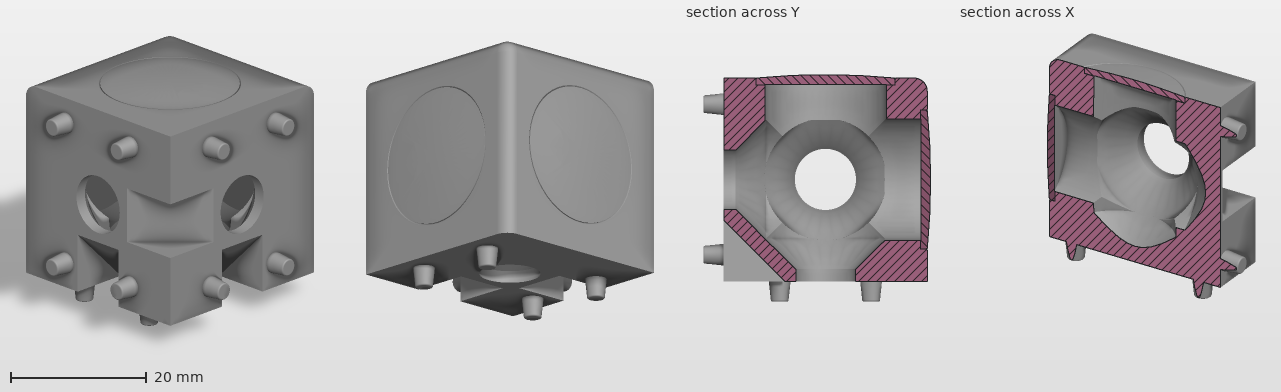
import cadquery as cq
import math

OVERALL = 33.5
DOME_RISE = 0.5
PEG_LENGTH = 2.98
CUBE = OVERALL - DOME_RISE - PEG_LENGTH
HALF = CUBE / 2
EDGE_RADIUS = 2.0

NOTCH_WIDTH = 8.5
NOTCH_DEPTH = 9.0

PEG_BASE_DIAMETER = 3.2
PEG_TIP_DIAMETER = 2.58
PEG_TIP_RADIUS = 0.25
PEG_WIDE_SPACING = 22.18
PEG_NARROW_SPACING = 13.47

BORE_DIAMETER = 9.0
BORE_LENGTH = 1.78
CHAMBER_DIAMETER = 18.0
CHAMBER_RADIUS = CHAMBER_DIAMETER / 2
CONE_LENGTH = CHAMBER_RADIUS - BORE_DIAMETER / 2
CHAMBER_FLOOR = BORE_LENGTH + CONE_LENGTH - HALF

CAP_DIAMETER = 20.6
CAP_THICKNESS = 1.0
SEAT_MOUTH_DIAMETER = 21.0
SEAT_BEVEL = (SEAT_MOUTH_DIAMETER - CAP_DIAMETER) / 2

AXES = [
    ((-1, 0, 0), (0, 1, 0)),
    ((0, 1, 0), (1, 0, 0)),
    ((0, 0, 1), (1, 0, 0)),
]


def revolve_profile(profile):
    """Turn a closed profile, drawn as radius against height, about the Z axis."""
    return profile.close().revolve(360, (0, 0, 0), (0, 1, 0))


def place_on_axis(body, normal, x_direction):
    """Move a body built along +Z so that +Z becomes the outward capped direction."""
    plane = cq.Plane(origin=(0, 0, 0), xDir=x_direction, normal=normal)
    return cq.Workplane(body.val().moved(cq.Location(plane)))


def make_passage():
    """Cap seat, wide chamber, cone and bore, running from the top face to the bottom face."""
    seat_radius = CAP_DIAMETER / 2
    seat_floor = HALF - CAP_THICKNESS
    bore_radius = BORE_DIAMETER / 2
    profile = (
        cq.Workplane("XZ")
        .moveTo(0, HALF)
        .lineTo(SEAT_MOUTH_DIAMETER / 2, HALF)
        .lineTo(seat_radius, HALF - SEAT_BEVEL)
        .lineTo(seat_radius, seat_floor)
        .lineTo(CHAMBER_RADIUS, seat_floor)
        .lineTo(CHAMBER_RADIUS, CHAMBER_FLOOR)
        .lineTo(bore_radius, BORE_LENGTH - HALF)
        .lineTo(bore_radius, -HALF)
        .lineTo(0, -HALF)
    )
    return revolve_profile(profile)


def make_pegs():
    """Four tapered pegs hanging from the bottom face, each with a rounded tip."""
    profile = (
        cq.Workplane("XZ")
        .lineTo(PEG_BASE_DIAMETER / 2, 0)
        .lineTo(PEG_TIP_DIAMETER / 2, -PEG_LENGTH)
        .lineTo(0, -PEG_LENGTH)
    )
    peg = revolve_profile(profile).faces("<Z").edges().fillet(PEG_TIP_RADIUS).val()
    corners = (
        cq.Workplane("XY", origin=(0, 0, -HALF))
        .rect(PEG_NARROW_SPACING, PEG_WIDE_SPACING, forConstruction=True)
        .vertices()
    )
    return corners.eachpoint(lambda location: peg.moved(location))


def make_notch(plane_name, side):
    """Triangular prism across the edge at (side * HALF, -HALF) in the coordinates of the named plane."""
    return (
        cq.Workplane(plane_name)
        .polyline([
            (side * HALF, -HALF),
            (side * (HALF - NOTCH_DEPTH), -HALF),
            (side * HALF, NOTCH_DEPTH - HALF),
        ])
        .close()
        .extrude(NOTCH_WIDTH / 2, both=True)
    )


def make_housing():
    """Hollow cube with rounded capped edges, notched pegged edges and pegs."""
    housing = cq.Workplane("XY").box(CUBE, CUBE, CUBE)
    housing = housing.edges("(<X and >Y) or (<X and >Z) or (>Y and >Z)").fillet(EDGE_RADIUS)
    for plane_name, side in (("XY", 1), ("XZ", 1), ("YZ", -1)):
        housing = housing.cut(make_notch(plane_name, side))
    for normal, x_direction in AXES:
        housing = housing.cut(place_on_axis(make_passage(), normal, x_direction))
    for normal, x_direction in AXES:
        for peg in make_pegs().vals():
            housing = housing.union(place_on_axis(cq.Workplane(peg), normal, x_direction))
    return housing


def make_cap():
    """Flat-backed round cap with a shallow spherical dome."""
    radius = CAP_DIAMETER / 2
    apex = HALF + DOME_RISE
    sphere_radius = (radius**2 + DOME_RISE**2) / (2 * DOME_RISE)
    half_angle = math.asin(radius / sphere_radius) / 2
    mid_point = (
        sphere_radius * math.sin(half_angle),
        apex - sphere_radius * (1 - math.cos(half_angle)),
    )
    profile = (
        cq.Workplane("XZ")
        .moveTo(0, HALF - CAP_THICKNESS)
        .lineTo(radius, HALF - CAP_THICKNESS)
        .lineTo(radius, HALF)
        .threePointArc(mid_point, (0, apex))
    )
    return revolve_profile(profile)


housing = make_housing()
caps = [place_on_axis(make_cap(), normal, x_direction) for normal, x_direction in AXES]
result = cq.Compound.makeCompound([housing.val(), *[cap.val() for cap in caps]])